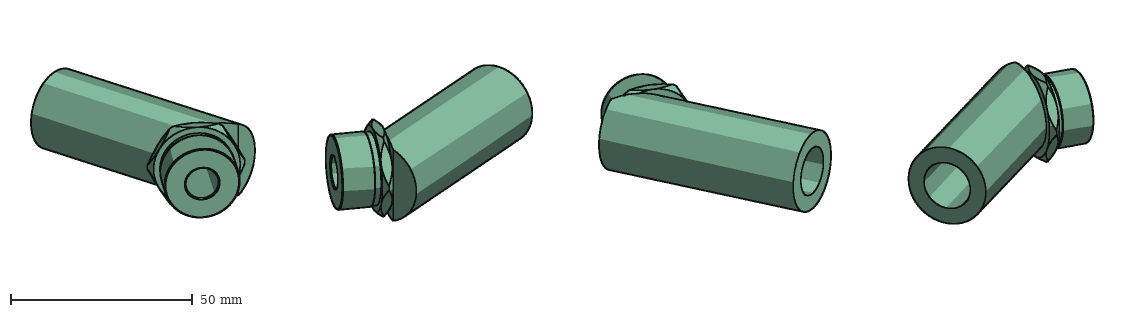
import cadquery as cq
import math

tube_diameter = 23.0
tube_length = 60.0
inlet_diameter = 13.7
inlet_depth = 30.0

bend_angle = math.radians(45)
bend_x = 47.0
bend_to_nut = 6.4
bore_diameter = 9.05

nut_sides = 6
nut_across_flats = 24.0
nut_thickness = 3.0

neck_diameter = 20.5
neck_length = 1.6
thread_diameter = 20.95
thread_length = 9.4
end_chamfer = 0.3
bore_chamfer = 0.35

outlet_length = nut_thickness + neck_length + thread_length
outlet_direction = cq.Vector(math.cos(bend_angle), -math.sin(bend_angle), 0)
across_direction = cq.Vector(math.sin(bend_angle), math.cos(bend_angle), 0)
bend_point = cq.Vector(bend_x, 0, 0)


def outlet_plane(distance):
    """Plane square to the outlet axis, at a distance past the bend."""
    return cq.Plane(bend_point + outlet_direction * distance, across_direction, outlet_direction)


def cone(start_radius, end_radius, height, distance):
    """Solid cone frustum on the outlet axis, starting at a distance past the bend."""
    base = bend_point + outlet_direction * distance
    frustum = cq.Solid.makeCone(start_radius, end_radius, height, base, outlet_direction)
    return cq.Workplane(frustum)


def make_tube():
    tube = cq.Workplane("YZ").circle(tube_diameter / 2).extrude(tube_length)
    cutter_size = 2 * tube_length
    beyond_nut_face = (
        cq.Workplane(outlet_plane(bend_to_nut))
        .rect(cutter_size, cutter_size)
        .extrude(cutter_size)
    )
    return tube.cut(beyond_nut_face)


def make_nut():
    """Hexagon with 45 degree cones on both faces that meet at mid-thickness."""
    face_radius = nut_across_flats / 2
    half_thickness = nut_thickness / 2
    middle_radius = face_radius + half_thickness
    across_corners = nut_across_flats / math.cos(math.pi / nut_sides)
    hexagon = cq.Workplane(outlet_plane(bend_to_nut)).polygon(nut_sides, across_corners).extrude(nut_thickness)
    back_cone = cone(face_radius, middle_radius, half_thickness, bend_to_nut)
    front_cone = cone(middle_radius, face_radius, half_thickness, bend_to_nut + half_thickness)
    return hexagon.intersect(back_cone.union(front_cone))


def make_threaded_end():
    neck_start = bend_to_nut + nut_thickness
    neck = cq.Workplane(outlet_plane(neck_start)).circle(neck_diameter / 2).extrude(neck_length)
    neck_step = (thread_diameter - neck_diameter) / 2
    thread = (
        cq.Workplane(outlet_plane(neck_start + neck_length))
        .circle(thread_diameter / 2)
        .extrude(thread_length)
        .faces("<(1, -1, 0)").chamfer(neck_step)
        .faces(">(1, -1, 0)").chamfer(end_chamfer)
    )
    return neck.union(thread)


def make_bore():
    """Mitred bore through the bend, widened at the inlet and chamfered at the outlet."""
    outlet_distance = bend_to_nut + outlet_length
    outlet_point = bend_point + outlet_direction * outlet_distance
    path = cq.Workplane("XY").polyline([(0, 0), (bend_x, 0), (outlet_point.x, outlet_point.y)])
    passage = cq.Workplane("YZ").circle(bore_diameter / 2).sweep(path, transition="right")
    inlet = cq.Workplane("YZ").circle(inlet_diameter / 2).extrude(inlet_depth)
    bore_radius = bore_diameter / 2
    chamfer = cone(bore_radius, bore_radius + bore_chamfer, bore_chamfer, outlet_distance - bore_chamfer)
    return passage.union(inlet).union(chamfer)


body = make_tube().union(make_nut()).union(make_threaded_end())
result = body.cut(make_bore())